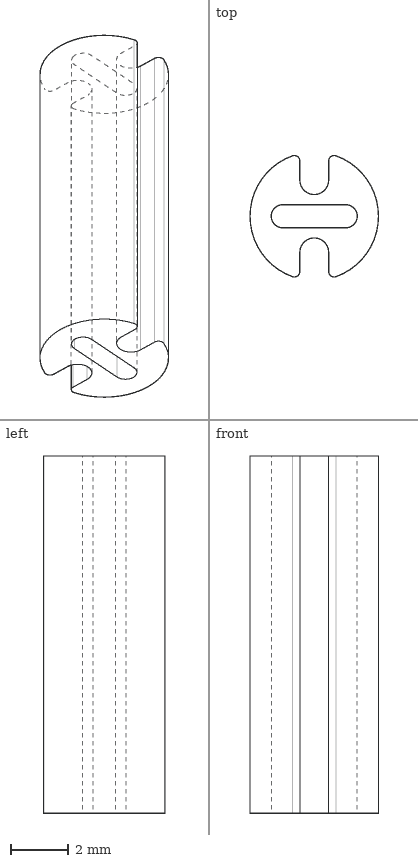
import cadquery as cq

length = 12.5
diameter = 4.5

slot_length = 3.0
slot_width = 0.8

groove_width = 1.0
groove_floor = 0.76
lip_radius = 0.2


def groove_cutter(side):
    """Full-length groove on the +Y side (side = 1) or the -Y side (side = -1)."""
    radius = groove_width / 2
    arc_center = groove_floor + radius
    outer_end = diameter / 2 + radius
    return (
        cq.Workplane("XY")
        .moveTo(-radius, side * outer_end)
        .lineTo(-radius, side * arc_center)
        .threePointArc((0, side * groove_floor), (radius, side * arc_center))
        .lineTo(radius, side * outer_end)
        .close()
        .extrude(length)
    )


body = cq.Workplane("XY").circle(diameter / 2).extrude(length)
for side in (1, -1):
    body = body.cut(groove_cutter(side))

lip_edges = body.edges("|Z").edges(">Y or <Y")
body = lip_edges.fillet(lip_radius)

slot = cq.Workplane("XY").slot2D(slot_length, slot_width).extrude(length)

result = body.cut(slot)